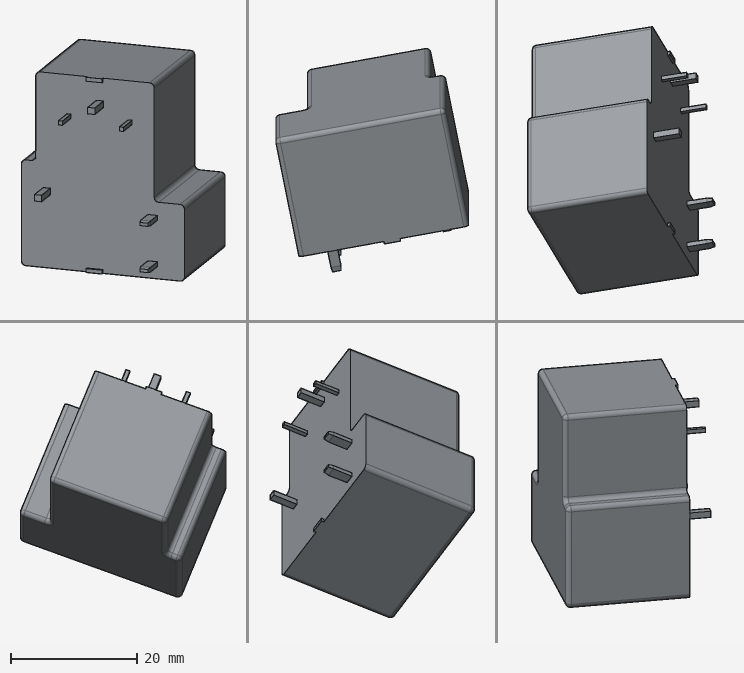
import cadquery as cq

HOUSING_WIDTH = 27.42
HOUSING_DEPTH = 19.97
HOUSING_HEIGHT = 32.25
TOWER_LEFT = 2.42
TOWER_RIGHT = 22.32
LEFT_STEP_HEIGHT = 17.5
RIGHT_STEP_HEIGHT = 12.68
EDGE_RADIUS = 0.77

LUG_WIDTH = 2.65
LUG_HEIGHT = 0.65
LUG_DEPTH = 0.42
LUG_CENTER_X = (TOWER_LEFT + TOWER_RIGHT) / 2

PIN_LENGTH = 4.2

CONTACT_PIN_WIDTH = 1.2
CONTACT_PIN_HEIGHT = 1.05
CONTACT_PIN_CENTERS = [(13.23, 27.97), (4.3, RIGHT_STEP_HEIGHT)]

COIL_PIN_SIZE = 0.68
COIL_PIN_SPACING = 10.25
COIL_PIN_LEFT = 8.03
COIL_PIN_Z = 25.45
COIL_PIN_CENTERS = [
    (COIL_PIN_LEFT, COIL_PIN_Z),
    (COIL_PIN_LEFT + COIL_PIN_SPACING, COIL_PIN_Z),
]

BLADE_WIDTH = 1.6
BLADE_HEIGHT = 0.77
BLADE_X = 22.05
BLADE_CENTERS = [(BLADE_X, 10.1), (BLADE_X, 2.45)]
BLADE_TIP_LENGTH = 0.85
BLADE_TIP_INSET = 0.13


def box_on_pin_face(center_x, center_z, width, height, length):
    """Rectangular bar standing out from the pin face toward -Y."""
    return (
        cq.Workplane("XZ")
        .center(center_x, center_z)
        .rect(width, height)
        .extrude(length)
    )


def make_housing():
    """Stepped block with rounded edges, except around the pin face, and two lugs."""
    outline = [
        (0, 0),
        (HOUSING_WIDTH, 0),
        (HOUSING_WIDTH, RIGHT_STEP_HEIGHT),
        (TOWER_RIGHT, RIGHT_STEP_HEIGHT),
        (TOWER_RIGHT, HOUSING_HEIGHT),
        (TOWER_LEFT, HOUSING_HEIGHT),
        (TOWER_LEFT, LEFT_STEP_HEIGHT),
        (0, LEFT_STEP_HEIGHT),
    ]
    body = cq.Workplane("XZ").polyline(outline).close().extrude(-HOUSING_DEPTH)
    body = body.edges("|Y or >Y").fillet(EDGE_RADIUS)
    for lug_z in (LUG_HEIGHT / 2, HOUSING_HEIGHT - LUG_HEIGHT / 2):
        body = body.union(box_on_pin_face(LUG_CENTER_X, lug_z, LUG_WIDTH, LUG_HEIGHT, LUG_DEPTH))
    return body


def make_contact_pin(center_x, center_z):
    """Plain contact pin."""
    return box_on_pin_face(center_x, center_z, CONTACT_PIN_WIDTH, CONTACT_PIN_HEIGHT, PIN_LENGTH)


def make_coil_pin(center_x, center_z):
    """Thin square coil pin."""
    return box_on_pin_face(center_x, center_z, COIL_PIN_SIZE, COIL_PIN_SIZE, PIN_LENGTH)


def make_blade(center_x, center_z):
    """Flat blade whose tip tapers on all four sides."""
    shank_length = PIN_LENGTH - BLADE_TIP_LENGTH
    shank = box_on_pin_face(center_x, center_z, BLADE_WIDTH, BLADE_HEIGHT, shank_length)
    tip = (
        cq.Workplane("XZ", origin=(center_x, -shank_length, center_z))
        .rect(BLADE_WIDTH, BLADE_HEIGHT)
        .workplane(offset=BLADE_TIP_LENGTH)
        .rect(BLADE_WIDTH - 2 * BLADE_TIP_INSET, BLADE_HEIGHT - 2 * BLADE_TIP_INSET)
        .loft(ruled=True)
    )
    return shank.union(tip)


housing = make_housing()
contact_pins = [make_contact_pin(x, z) for x, z in CONTACT_PIN_CENTERS]
coil_pins = [make_coil_pin(x, z) for x, z in COIL_PIN_CENTERS]
blades = [make_blade(x, z) for x, z in BLADE_CENTERS]

pins = contact_pins + coil_pins + blades
result = cq.Compound.makeCompound([housing.val(), *[pin.val() for pin in pins]])